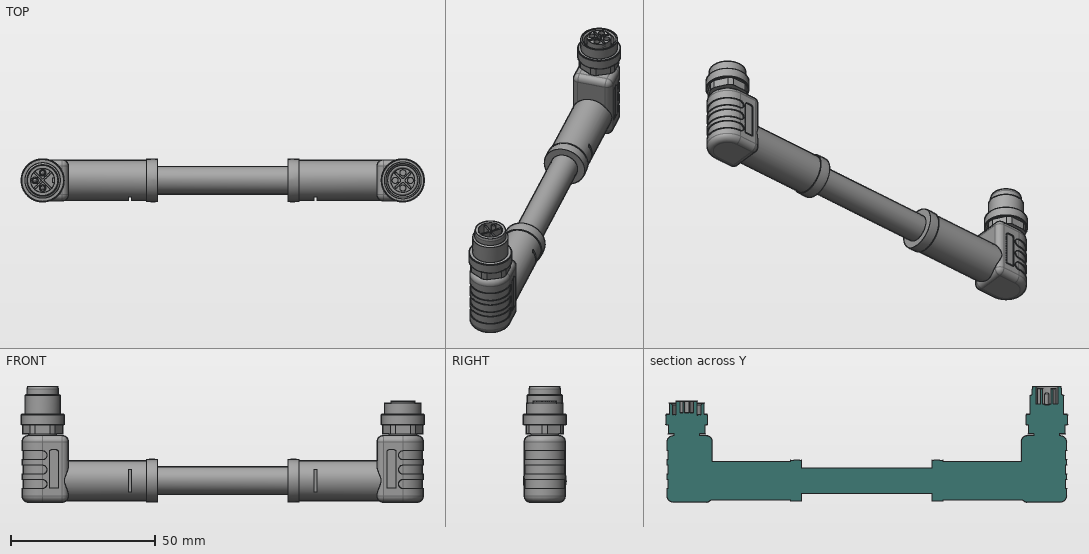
import cadquery as cq
import math

OVERALL_LENGTH = 140.0
RING_DIAMETER = 15.0
PLUG_AXIS_X = OVERALL_LENGTH / 2 - RING_DIAMETER / 2
COLLAR_DIAMETER = 15.0
CABLE_AXIS_Z = COLLAR_DIAMETER / 2

HEAD_HEIGHT = 23.2
HEAD_WIDTH = 14.3
HEAD_RADIUS = HEAD_WIDTH / 2
HEAD_INNER_REACH = 8.95
HEAD_FILLET = 2.2

GRIP_DEPTH = 0.35
GRIP_HEIGHT = 3.1
GRIP_REACH = 1.5
GRIP_COUNT = 3
GRIP_PITCH = 5.0
GRIP_FIRST_Z = 6.35
LABEL_WIDTH = 3.2
LABEL_HEIGHT = 13.2
LABEL_DEPTH = 0.4
LABEL_CORNER = 0.8
LABEL_OFFSET_X = 3.9
LABEL_CENTRE_Z = 11.65

CABLE_DIAMETER = 9.7
SLEEVE_DIAMETER = 14.0
SLEEVE_START = 6.5
COLLAR_WIDTH = 3.9
COLLAR_END_DIAMETER = 14.7
COLLAR_END_X = 22.6
SLIT_X = 32.2
SLIT_WIDTH = 0.9
SLIT_HEIGHT = 7.8

NECK_DIAMETER = 9.7
HEX_BASE_Z = 23.75
HEX_FLATS = 13.0
HEX_CORNER_DIAMETER = 14.0
HEX_TURN = 30.0
RING_BASE_Z = 26.8
RING_TOP_Z = 30.6
RING_CHAMFER = 0.25

MALE_TOP_Z = 40.2
MALE_SHOULDER_Z = 37.5
MALE_SHOULDER_DROP = 0.4
MALE_SHELL_DIAMETER = 12.3
MALE_TIP_DIAMETER = 10.95
MALE_RIM_DIAMETER = 10.5
MALE_RIM_HEIGHT = 0.9
MALE_BORE_DIAMETER = 8.35
MALE_FLOOR_Z = 34.2
PIN_DIAMETER = 1.5
PIN_TIP_FILLET = 0.65
PIN_TOP_Z = 38.0
PIN_SEAT_DIAMETER = 2.3
PIN_SEAT_DEPTH = 0.3
CROSS_TOP_Z = 39.5
CROSS_THICKNESS = 0.6
CROSS_ANGLE = 45.0
KEY_WIDTH = 1.6
KEY_DEPTH = 0.7

FEMALE_NUT_TOP_Z = 34.4
FEMALE_NUT_DIAMETER = 12.8
FEMALE_BORE_DIAMETER = 10.5
FEMALE_MOUTH_CHAMFER = 0.6
FEMALE_BORE_FLOOR_Z = 30.0
INSERT_TOP_Z = 35.15
INSERT_DIAMETER = 8.3
SOCKET_DIAMETER = 2.12
CENTRE_SOCKET_DIAMETER = 1.5
CROSS_SLOT_WIDTH = 0.7
CROSS_SLOT_SPAN = 7.4
SOCKET_DEPTH = 4.0

CONTACT_CIRCLE_RADIUS = 2.65
OVERLAP = 0.5


def cylinder(diameter, bottom, top, x=0.0, y=0.0):
    """Upright cylinder between two heights."""
    return cq.Workplane("XY", origin=(x, y, bottom)).circle(diameter / 2).extrude(top - bottom)


def cable_cylinder(diameter, start_x, end_x):
    """Cylinder on the cable axis between two X positions."""
    return (
        cq.Workplane("YZ", origin=(start_x, 0, CABLE_AXIS_Z)).circle(diameter / 2).extrude(end_x - start_x)
    )


def contact_position(angle):
    return (
        CONTACT_CIRCLE_RADIUS * math.cos(math.radians(angle)),
        CONTACT_CIRCLE_RADIUS * math.sin(math.radians(angle)),
    )


def head_prism(inset):
    """Head plan extruded to full height: a half-round outer end and a square inner end."""
    radius = HEAD_RADIUS - inset
    return (
        cq.Workplane("XY")
        .moveTo(0, radius)
        .threePointArc((-radius, 0), (0, -radius))
        .lineTo(HEAD_INNER_REACH, -radius)
        .lineTo(HEAD_INNER_REACH, radius)
        .close()
        .extrude(HEAD_HEIGHT)
    )


def grip_band(centre_z):
    """Slot-ended band that crosses the head in Y and leaves past its round end."""
    length = HEAD_WIDTH + GRIP_REACH
    return (
        cq.Workplane("XZ", origin=(GRIP_REACH - length / 2, HEAD_WIDTH, centre_z))
        .slot2D(length, GRIP_HEIGHT)
        .extrude(2 * HEAD_WIDTH)
    )


def label_recess(side):
    """Rectangular recess in the flank on the given Y side."""
    return (
        cq.Workplane("XY")
        .box(LABEL_WIDTH, 2 * LABEL_DEPTH, LABEL_HEIGHT)
        .edges("|Y and >Z")
        .fillet(LABEL_CORNER)
        .translate((LABEL_OFFSET_X, side * HEAD_RADIUS, LABEL_CENTRE_Z))
    )


def head():
    body = head_prism(0).edges("|Z and >X").fillet(HEAD_FILLET)
    body = body.faces("<Z or >Z").edges().fillet(HEAD_FILLET)
    core = head_prism(GRIP_DEPTH)
    for index in range(GRIP_COUNT):
        body = body.cut(grip_band(GRIP_FIRST_Z + index * GRIP_PITCH).cut(core))
    for side in (-1, 1):
        body = body.cut(label_recess(side))
    return body


def nut_base():
    """Neck, rounded hexagon and collar ring at the bottom of the coupling nut."""
    neck = cylinder(NECK_DIAMETER, HEAD_HEIGHT - OVERLAP, HEX_BASE_Z + OVERLAP)
    hexagon = (
        cq.Workplane("XY", origin=(0, 0, HEX_BASE_Z))
        .polygon(6, HEX_FLATS, circumscribed=True)
        .extrude(RING_BASE_Z - HEX_BASE_Z)
        .rotate((0, 0, 0), (0, 0, 1), HEX_TURN)
        .intersect(cylinder(HEX_CORNER_DIAMETER, HEX_BASE_Z, RING_BASE_Z))
    )
    ring = cylinder(RING_DIAMETER, RING_BASE_Z, RING_TOP_Z).edges().chamfer(RING_CHAMFER)
    return neck.union(hexagon).union(ring)


def male_shell():
    """Cylindrical shell with a stepped tip, a tapered rim and a bore."""
    rim_run = (MALE_TIP_DIAMETER - MALE_RIM_DIAMETER) / 2
    tip = cylinder(MALE_TIP_DIAMETER, MALE_SHOULDER_Z - OVERLAP, MALE_TOP_Z)
    tip = tip.faces(">Z").chamfer(MALE_RIM_HEIGHT, rim_run)
    shoulder_run = (MALE_SHELL_DIAMETER - MALE_TIP_DIAMETER) / 2
    shell = cylinder(MALE_SHELL_DIAMETER, RING_TOP_Z - OVERLAP, MALE_SHOULDER_Z)
    shell = shell.faces(">Z").chamfer(MALE_SHOULDER_DROP, shoulder_run).union(tip)
    return shell.cut(cylinder(MALE_BORE_DIAMETER, MALE_FLOOR_Z, MALE_TOP_Z))


def cross_plates(length, thickness, bottom, top):
    """Two upright plates crossing on the plug axis, on the diagonals between the contacts."""
    plate = cq.Workplane("XY", origin=(0, 0, bottom)).rect(length, thickness).extrude(top - bottom)
    first = plate.rotate((0, 0, 0), (0, 0, 1), CROSS_ANGLE)
    second = plate.rotate((0, 0, 0), (0, 0, 1), -CROSS_ANGLE)
    return first.union(second)


def male_plug():
    plug = nut_base().union(male_shell())
    for angle in (90, 180, 270):
        x, y = contact_position(angle)
        plug = plug.cut(cylinder(PIN_SEAT_DIAMETER, MALE_FLOOR_Z - PIN_SEAT_DEPTH, MALE_FLOOR_Z, x, y))
        pin = cylinder(PIN_DIAMETER, MALE_FLOOR_Z - PIN_SEAT_DEPTH - OVERLAP, PIN_TOP_Z, x, y)
        plug = plug.union(pin.faces(">Z").edges().fillet(PIN_TIP_FILLET))
    key = (
        cq.Workplane("XY", origin=(MALE_BORE_DIAMETER / 2, 0, MALE_FLOOR_Z - OVERLAP))
        .rect(2 * KEY_DEPTH, KEY_WIDTH)
        .extrude(CROSS_TOP_Z - MALE_FLOOR_Z + OVERLAP)
    )
    cross_length = MALE_BORE_DIAMETER + OVERLAP
    cross = cross_plates(cross_length, CROSS_THICKNESS, MALE_FLOOR_Z - OVERLAP, CROSS_TOP_Z)
    return plug.union(key).union(cross)


def seal_ring():
    """O-ring lying on the floor of the gap between nut and insert."""
    seal_radius = (FEMALE_BORE_DIAMETER - INSERT_DIAMETER) / 4
    centre_radius = (FEMALE_BORE_DIAMETER + INSERT_DIAMETER) / 4
    return (
        cq.Workplane("XZ")
        .center(centre_radius, FEMALE_BORE_FLOOR_Z)
        .circle(seal_radius)
        .revolve(360, (-centre_radius, 0, 0), (-centre_radius, 1, 0))
    )


def female_plug():
    sleeve = cylinder(FEMALE_NUT_DIAMETER, RING_TOP_Z - OVERLAP, FEMALE_NUT_TOP_Z)
    plug = nut_base().union(sleeve)
    plug = plug.cut(cylinder(FEMALE_BORE_DIAMETER, FEMALE_BORE_FLOOR_Z, FEMALE_NUT_TOP_Z))
    mouth_edge = cq.selectors.RadiusNthSelector(0)
    plug = plug.faces(">Z").edges(mouth_edge).chamfer(FEMALE_MOUTH_CHAMFER)
    plug = plug.union(seal_ring())
    plug = plug.union(cylinder(INSERT_DIAMETER, FEMALE_BORE_FLOOR_Z - OVERLAP, INSERT_TOP_Z))
    socket_floor_z = INSERT_TOP_Z - SOCKET_DEPTH
    for angle in (0, 90, 180, 270):
        x, y = contact_position(angle)
        plug = plug.cut(cylinder(SOCKET_DIAMETER, socket_floor_z, INSERT_TOP_Z, x, y))
    plug = plug.cut(cross_plates(CROSS_SLOT_SPAN, CROSS_SLOT_WIDTH, socket_floor_z, INSERT_TOP_Z))
    return plug.cut(cylinder(CENTRE_SOCKET_DIAMETER, socket_floor_z, INSERT_TOP_Z))


def sleeve():
    """Strain-relief sleeve of the left plug with its end collar and a slit on the front."""
    collar_start_x = -(COLLAR_END_X + COLLAR_WIDTH)
    tube = cable_cylinder(SLEEVE_DIAMETER, -PLUG_AXIS_X + SLEEVE_START, collar_start_x + OVERLAP)
    collar_profile = (
        cq.Workplane("XZ", origin=(collar_start_x, 0, CABLE_AXIS_Z))
        .lineTo(0, COLLAR_END_DIAMETER / 2)
        .threePointArc((COLLAR_WIDTH / 2, COLLAR_DIAMETER / 2), (COLLAR_WIDTH, COLLAR_END_DIAMETER / 2))
        .lineTo(COLLAR_WIDTH, 0)
        .close()
    )
    collar = collar_profile.revolve(360, (0, 0, 0), (1, 0, 0))
    sleeve_radius = SLEEVE_DIAMETER / 2
    slit_floor_y = math.sqrt(sleeve_radius**2 - (SLIT_HEIGHT / 2) ** 2)
    slit = (
        cq.Workplane("XY")
        .box(SLIT_WIDTH, sleeve_radius, SLEEVE_DIAMETER)
        .translate((-SLIT_X, -slit_floor_y - sleeve_radius / 2, CABLE_AXIS_Z))
    )
    return tube.cut(slit).union(collar)


left_head = head().translate((-PLUG_AXIS_X, 0, 0)).union(sleeve())
right_head = left_head.mirror("YZ")
cable = cable_cylinder(CABLE_DIAMETER, -COLLAR_END_X - OVERLAP, COLLAR_END_X + OVERLAP)

result = (
    cable.union(left_head)
    .union(right_head)
    .union(male_plug().translate((-PLUG_AXIS_X, 0, 0)))
    .union(female_plug().translate((PLUG_AXIS_X, 0, 0)))
)